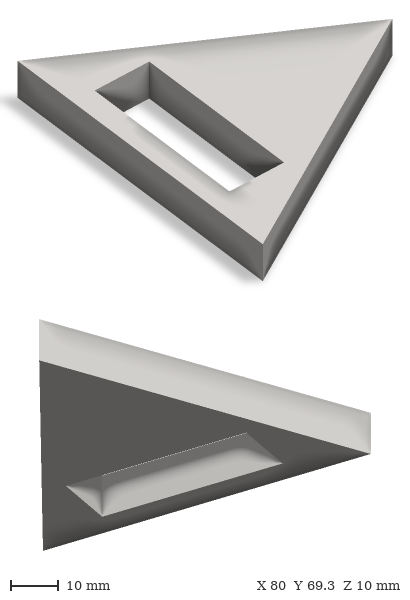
import cadquery as cq
import math

side = 80.0
height = side * math.sqrt(3) / 2
thickness = 10.0

window_length = 44.0
window_width = 1.5 * thickness
base_margin = 6.0

plate = (
    cq.Workplane("XY")
    .polyline([(-side / 2, 0), (side / 2, 0), (0, height)])
    .close()
    .extrude(thickness)
)

window = (
    cq.Workplane("XY")
    .center(0, base_margin + window_width / 2)
    .rect(window_length, window_width)
    .extrude(thickness)
)

result = plate.cut(window)